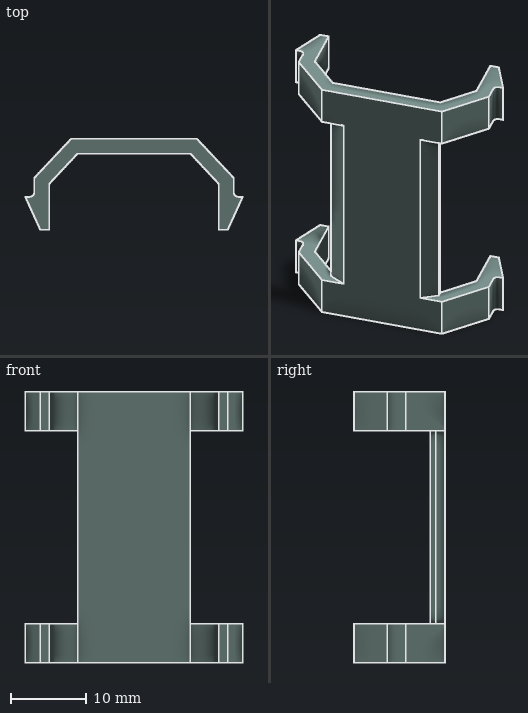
import cadquery as cq
import math

HEIGHT = 36.0
WIDTH = 28.9
DEPTH = 12.1
ARM_HEIGHT = 5.2

PLATE_THICKNESS = 2.0
INNER_FLOOR_HALF = 7.5
OUTER_BACK_HALF = 8.35
LEG_INNER_HALF = 11.25
LEG_OUTER_HALF = LEG_INNER_HALF + PLATE_THICKNESS
INNER_BEND_DEPTH = 6.0
OUTER_BEND_DEPTH = 5.2
BARB_HALF = WIDTH / 2
BARB_DEPTH = 7.7
BARB_FILLET = 0.6
LEG_TIP_HALF = 12.45

BEVEL_DEPTH = 1.25
BEVEL_ANGLE = 30.0
BEVEL_WIDTH = BEVEL_DEPTH / math.tan(math.radians(BEVEL_ANGLE))


def at_depth(half_width, depth):
    """Point on the +X half of a section, given its depth from the back face (Y = 0)."""
    return (half_width, -depth)


def mirrored(points):
    """Same points on the -X half, in reverse order."""
    return [(-x, y) for x, y in reversed(points)]


def clip_band(bottom_z):
    """Bent clip with a snap barb on the outside of each leg."""
    outer = [
        at_depth(OUTER_BACK_HALF, 0),
        at_depth(LEG_OUTER_HALF, OUTER_BEND_DEPTH),
        at_depth(LEG_OUTER_HALF, BARB_DEPTH),
        at_depth(BARB_HALF, BARB_DEPTH),
        at_depth(LEG_TIP_HALF, DEPTH),
    ]
    inner = [
        at_depth(LEG_INNER_HALF, DEPTH),
        at_depth(LEG_INNER_HALF, INNER_BEND_DEPTH),
        at_depth(INNER_FLOOR_HALF, PLATE_THICKNESS),
    ]
    half = outer + inner
    band = cq.Workplane("XY").polyline(half + mirrored(half)).close().extrude(ARM_HEIGHT)

    root_x, root_y = at_depth(LEG_OUTER_HALF, BARB_DEPTH)
    for side in (-1, 1):
        root = cq.selectors.NearestToPointSelector((side * root_x, root_y, ARM_HEIGHT / 2))
        band = band.edges("|Z").edges(root).fillet(BARB_FILLET)
    return band.translate((0, 0, bottom_z))


def plate():
    """Flat plate joining the bands, with both back edges bevelled."""
    half = [
        at_depth(INNER_FLOOR_HALF - BEVEL_WIDTH, 0),
        at_depth(INNER_FLOOR_HALF, BEVEL_DEPTH),
        at_depth(INNER_FLOOR_HALF, PLATE_THICKNESS),
    ]
    section = cq.Workplane("XY").workplane(offset=-HEIGHT / 2)
    return section.polyline(half + mirrored(half)).close().extrude(HEIGHT)


lower_band = clip_band(-HEIGHT / 2)
upper_band = clip_band(HEIGHT / 2 - ARM_HEIGHT)
result = plate().union(lower_band).union(upper_band)